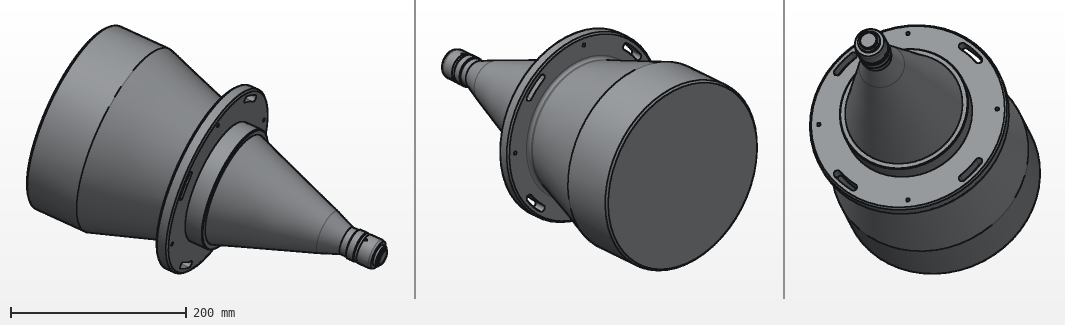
import cadquery as cq
import math


front_radius = 115.0
barrel_length = 67.3
front_chamfer = 2.5

shoulder_end_x = 165.0
waist_radius = 83.4
shoulder_lip = 0.4
waist_start_x = 166.3
flange_root_fillet = 4.0

flange_front_x = 171.3
flange_thickness = 16.0
flange_radius = 115.0
flange_chamfer = 2.2

collar_radius = 75.0
collar_length = 22.7
collar_chamfer = 1.0

cone_start_radius = 68.5
cone_end_x = 332.0
cone_end_radius = 26.5
neck_x = 357.2
neck_radius = 17.0

ring_radius = 18.2
mount_radius = 18.0
ring_start_x = 365.7
ring_end_x = 376.6
ring_bevel_length = 1.0
groove_radius = 17.6
groove_end_x = 380.0
mount_end_x = 395.0
mount_tip_x = 398.6
mount_tip_radius = 17.0

thread_radius = 12.7
thread_end_x = 402.3
pilot_radius = 10.2
pilot_chamfer = 1.0
total_length = 405.2

pitch_radius = 104.0
slot_count = 4
slot_width = 8.0
slot_sweep = 15.0
slot_first_angle = 45.0
pin_hole_count = 4
pin_hole_diameter = 4.0

screw_count = 3
screw_x = 382.3
screw_diameter = 2.5
screw_depth = 3.0
screw_first_angle = 90.0

flange_back_x = flange_front_x + flange_thickness
collar_end_x = flange_back_x + collar_length


def revolved_body():
    """Half profile above the axis, turned about the X axis."""
    root_bulge = flange_root_fillet * (1 - math.sqrt(0.5))
    profile = (
        cq.Workplane("XZ")
        .lineTo(0, front_radius - front_chamfer)
        .lineTo(front_chamfer, front_radius)
        .lineTo(barrel_length, front_radius)
        .lineTo(shoulder_end_x, waist_radius + shoulder_lip)
        .lineTo(waist_start_x, waist_radius)
        .lineTo(flange_front_x - flange_root_fillet, waist_radius)
        .threePointArc(
            (flange_front_x - root_bulge, waist_radius + root_bulge),
            (flange_front_x, waist_radius + flange_root_fillet),
        )
        .lineTo(flange_front_x, flange_radius - flange_chamfer)
        .lineTo(flange_front_x + flange_chamfer, flange_radius)
        .lineTo(flange_back_x - flange_chamfer, flange_radius)
        .lineTo(flange_back_x, flange_radius - flange_chamfer)
        .lineTo(flange_back_x, collar_radius)
        .lineTo(collar_end_x - collar_chamfer, collar_radius)
        .lineTo(collar_end_x, collar_radius - collar_chamfer)
        .lineTo(collar_end_x, cone_start_radius)
        .lineTo(cone_end_x, cone_end_radius)
        .lineTo(neck_x, neck_radius)
        .lineTo(ring_start_x, neck_radius)
        .lineTo(ring_start_x + ring_bevel_length, ring_radius)
        .lineTo(ring_end_x - ring_bevel_length, ring_radius)
        .lineTo(ring_end_x, groove_radius)
        .lineTo(groove_end_x, groove_radius)
        .lineTo(groove_end_x, mount_radius)
        .lineTo(mount_end_x, mount_radius)
        .lineTo(mount_tip_x, mount_tip_radius)
        .lineTo(mount_tip_x, thread_radius)
        .lineTo(thread_end_x, thread_radius)
        .lineTo(thread_end_x, pilot_radius)
        .lineTo(total_length - pilot_chamfer, pilot_radius)
        .lineTo(total_length, pilot_radius - pilot_chamfer)
        .lineTo(total_length, 0)
        .close()
    )
    return profile.revolve(360, (0, 0, 0), (1, 0, 0))


def polar(radius, angle):
    """Point in the YZ plane; the angle in degrees runs from +Y towards +Z."""
    return radius * math.cos(math.radians(angle)), radius * math.sin(math.radians(angle))


def flange_slot(mid_angle):
    """Curved slot through the flange, following the pitch circle."""
    start = mid_angle - slot_sweep / 2
    end = mid_angle + slot_sweep / 2
    inner = pitch_radius - slot_width / 2
    outer = pitch_radius + slot_width / 2
    end_reach = math.degrees(slot_width / 2 / pitch_radius)
    return (
        cq.Workplane("YZ", origin=(flange_front_x, 0, 0))
        .moveTo(*polar(inner, start))
        .threePointArc(polar(inner, mid_angle), polar(inner, end))
        .threePointArc(polar(pitch_radius, end + end_reach), polar(outer, end))
        .threePointArc(polar(outer, mid_angle), polar(outer, start))
        .threePointArc(polar(pitch_radius, start - end_reach), polar(inner, start))
        .close()
        .extrude(flange_thickness)
    )


def pin_holes():
    """Small holes through the flange, between the slots."""
    return (
        cq.Workplane("YZ", origin=(flange_front_x, 0, 0))
        .polarArray(pitch_radius, 0, 360, pin_hole_count)
        .circle(pin_hole_diameter / 2)
        .extrude(flange_thickness)
    )


def screw_hole(angle):
    """Blind radial hole in the camera mount."""
    y_dir, z_dir = polar(1, angle)
    floor_radius = mount_radius - screw_depth
    floor_center = cq.Vector(screw_x, floor_radius * y_dir, floor_radius * z_dir)
    outward = cq.Vector(0, y_dir, z_dir)
    return cq.Solid.makeCylinder(screw_diameter / 2, 2 * screw_depth, floor_center, outward)


result = revolved_body().cut(pin_holes())

for index in range(slot_count):
    result = result.cut(flange_slot(slot_first_angle + index * 360 / slot_count))

for index in range(screw_count):
    result = result.cut(cq.Workplane(screw_hole(screw_first_angle + index * 360 / screw_count)))